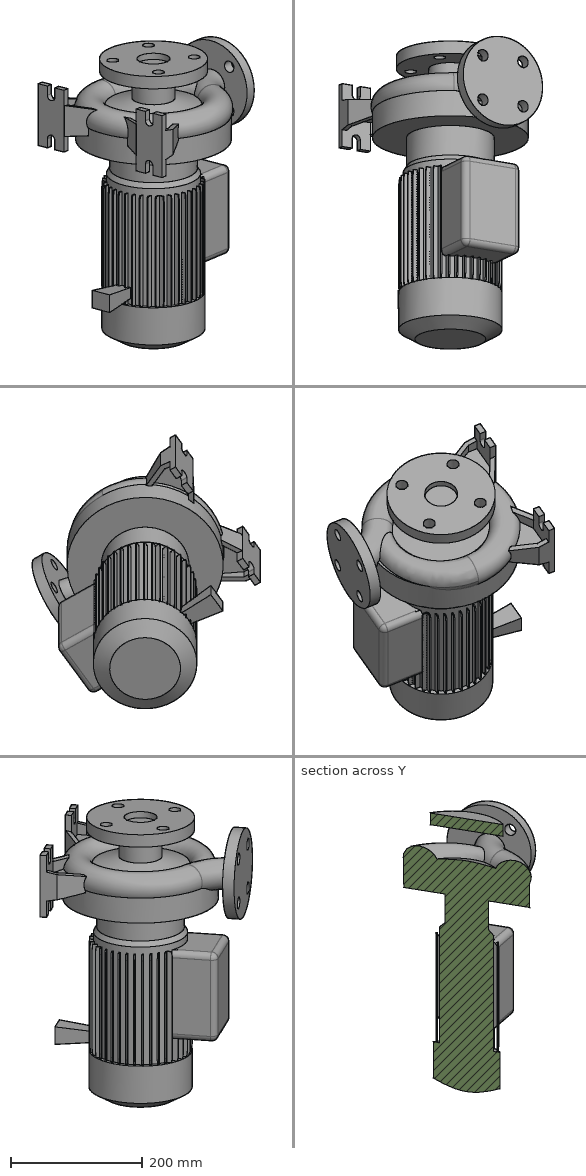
import cadquery as cq
import math


VOLUTE_PATH_RADIUS = 97.0
VOLUTE_TUBE_RADIUS = 24.0
TAPER_START_ANGLE = 180.0
TAPER_END_PATH_RADIUS = 92.5
TAPER_END_TUBE_RADIUS = 17.0
TAPER_EASE = 1.5
TAPER_SECTIONS = 6
CASING_RADIUS = 119.0
CASING_BOTTOM_Z = -50.0

SUCTION_FACE_Z = 80.0
SUCTION_FLANGE_RADIUS = 82.5
SUCTION_FLANGE_THICKNESS = 20.0
SUCTION_BOLT_CIRCLE_RADIUS = 62.5
SUCTION_PIPE_RADIUS = 33.0
SUCTION_BORE_RADIUS = 25.0
SUCTION_BORE_DEPTH = 10.0
COVER_TOP_Z = 17.0

DISCHARGE_FACE_Y = 160.0
DISCHARGE_FLANGE_RADIUS = 70.0
DISCHARGE_FLANGE_THICKNESS = 18.0
DISCHARGE_BOLT_CIRCLE_RADIUS = 50.0

FLANGE_BOLT_COUNT = 4
FLANGE_BOLT_HOLE_RADIUS = 9.0

BEND_RADIUS = (DISCHARGE_FACE_Y**2 - VOLUTE_PATH_RADIUS**2) / (2 * VOLUTE_PATH_RADIUS)
BEND_ANGLE = math.degrees(math.atan2(DISCHARGE_FACE_Y, BEND_RADIUS))

ADAPTER_RADIUS = 67.0
ADAPTER_BOTTOM_Z = -97.0
MOTOR_CORE_RADIUS = 72.0
CORE_TOP_Z = -105.0
FIN_TOP_Z = -116.0
FAN_COVER_TOP_Z = -295.0
FAN_COVER_RADIUS = 79.0
FAN_COVER_EDGE_Z = -355.0
MOTOR_BOTTOM_Z = -370.0
MOTOR_BOTTOM_RADIUS = 54.0

FIN_COUNT = 40
FIN_PITCH_RADIUS = 78.0
FIN_THICKNESS = 2.0
FIN_TIP_BEVEL_DEPTH = 1.0
FIN_TIP_BEVEL_HEIGHT = 9.0
FIN_ROOT_X = 45.0

BOX_WIDTH = 100.0
BOX_INNER_Y = 58.0
BOX_OUTER_Y = 129.0
BOX_HEIGHT = 143.0
BOX_FILLET = 10.0

STUB_OUTER_Y = -130.0
STUB_INNER_Y = -70.0
STUB_CENTER_Z = -276.5
STUB_OUTER_WIDTH = 34.0
STUB_OUTER_HEIGHT = 28.5
STUB_SHRINK = 11.0

FOOT_FACE_Y = -132.0
FOOT_THICKNESS = 10.0
FOOT_OUTER_X = 120.0
FOOT_WIDTH = 50.0
FOOT_HALF_HEIGHT = 50.0
FOOT_SLOT_WIDTH = 14.0
FOOT_SLOT_DEPTH = 22.0
RIB_THICKNESS = 8.0
RIB_BEND_Y = -105.0
RIB_END_Y = -59.0
OUTER_RIB_ANGLE = 27.5
INNER_RIB_ANGLE = 30.0
INNER_RIB_LENGTH = 54.0
RIB_ROOT_HALF_HEIGHT = 23.5
RIB_END_HALF_HEIGHT = 12.0
WEB_THICKNESS = 10.0
WEB_INNER_X = 45.0


def cylinder(radius, bottom_z, top_z):
    return cq.Workplane("XY").workplane(offset=bottom_z).circle(radius).extrude(top_z - bottom_z)


def revolve_profile(points):
    """Turn a closed (radius, z) outline around the Z axis."""
    return cq.Workplane("XZ").polyline(points).close().revolve(360, (0, 0, 0), (0, 1, 0))


def box_between(x_range, y_range, z_range):
    size = [high - low for low, high in (x_range, y_range, z_range)]
    corner = (x_range[0], y_range[0], z_range[0])
    return cq.Workplane("XY").box(*size, centered=False).translate(corner)


def make_spiral_tube():
    """Constant-section tube around the pump axis, from the taper start round to the outlet bend."""
    sweep_angle = 360 + BEND_ANGLE - TAPER_START_ANGLE
    tube = (
        cq.Workplane("XZ")
        .center(VOLUTE_PATH_RADIUS, 0)
        .circle(VOLUTE_TUBE_RADIUS)
        .revolve(sweep_angle, (-VOLUTE_PATH_RADIUS, 0, 0), (-VOLUTE_PATH_RADIUS, 1, 0))
    )
    return tube.rotate((0, 0, 0), (0, 0, 1), TAPER_START_ANGLE)


def make_spiral_taper():
    """Start of the spiral, shrinking from the full tube section to its narrow end inside the outlet bend."""
    sections = []
    for index in range(TAPER_SECTIONS):
        fraction = index / (TAPER_SECTIONS - 1)
        angle = math.radians(TAPER_START_ANGLE + fraction * (BEND_ANGLE - TAPER_START_ANGLE))
        shrink = fraction**TAPER_EASE
        path_radius = VOLUTE_PATH_RADIUS + shrink * (TAPER_END_PATH_RADIUS - VOLUTE_PATH_RADIUS)
        tube_radius = VOLUTE_TUBE_RADIUS + shrink * (TAPER_END_TUBE_RADIUS - VOLUTE_TUBE_RADIUS)
        radial = cq.Vector(math.cos(angle), math.sin(angle), 0)
        tangent = cq.Vector(math.sin(angle), -math.cos(angle), 0)
        sections.append(cq.Wire.makeCircle(tube_radius, radial * path_radius, tangent))
    return cq.Workplane(cq.Solid.makeLoft(sections))


def make_outlet_bend():
    """Reverse bend that turns the spiral outlet onto the discharge axis."""
    return (
        cq.Workplane("XZ", origin=(0, DISCHARGE_FACE_Y, 0))
        .circle(VOLUTE_TUBE_RADIUS)
        .revolve(BEND_ANGLE, (BEND_RADIUS, 0, 0), (BEND_RADIUS, 1, 0))
    )


def make_casing():
    """Casing drum with a shallow conical cover rising to the suction pipe."""
    return revolve_profile([
        (0, CASING_BOTTOM_Z),
        (CASING_RADIUS, CASING_BOTTOM_Z),
        (CASING_RADIUS, 0),
        (VOLUTE_PATH_RADIUS, 0),
        (SUCTION_PIPE_RADIUS, COVER_TOP_Z),
        (0, COVER_TOP_Z),
    ])


def make_flange(radius, thickness, bolt_circle_radius):
    """Flange disc lying on z = 0 with its bolt holes set at 45 degrees to the axes."""
    return (
        cq.Workplane("XY")
        .circle(radius)
        .polarArray(bolt_circle_radius, 45, 360, FLANGE_BOLT_COUNT)
        .circle(FLANGE_BOLT_HOLE_RADIUS)
        .extrude(thickness)
    )


def make_suction_branch():
    flange_bottom_z = SUCTION_FACE_Z - SUCTION_FLANGE_THICKNESS
    flange = make_flange(SUCTION_FLANGE_RADIUS, SUCTION_FLANGE_THICKNESS, SUCTION_BOLT_CIRCLE_RADIUS)
    pipe = cylinder(SUCTION_PIPE_RADIUS, 0, SUCTION_FACE_Z)
    bore = cylinder(SUCTION_BORE_RADIUS, SUCTION_FACE_Z - SUCTION_BORE_DEPTH, SUCTION_FACE_Z)
    return flange.translate((0, 0, flange_bottom_z)).union(pipe).cut(bore)


def make_discharge_flange():
    flange = make_flange(DISCHARGE_FLANGE_RADIUS, DISCHARGE_FLANGE_THICKNESS, DISCHARGE_BOLT_CIRCLE_RADIUS)
    return flange.rotate((0, 0, 0), (1, 0, 0), 90).translate((0, DISCHARGE_FACE_Y, 0))


def make_motor_body():
    return revolve_profile([
        (0, CASING_BOTTOM_Z),
        (ADAPTER_RADIUS, CASING_BOTTOM_Z),
        (ADAPTER_RADIUS, ADAPTER_BOTTOM_Z),
        (MOTOR_CORE_RADIUS, CORE_TOP_Z),
        (MOTOR_CORE_RADIUS, FAN_COVER_TOP_Z),
        (FAN_COVER_RADIUS, FAN_COVER_TOP_Z),
        (FAN_COVER_RADIUS, FAN_COVER_EDGE_Z),
        (MOTOR_BOTTOM_RADIUS, MOTOR_BOTTOM_Z),
        (0, MOTOR_BOTTOM_Z),
    ])


def make_fin(offset):
    """Fin along +X at the given Y offset; its flat tip just reaches the fan cover radius."""
    tip_x = math.sqrt(FAN_COVER_RADIUS**2 - (abs(offset) + FIN_THICKNESS / 2) ** 2)
    return (
        cq.Workplane("XZ", origin=(0, offset, 0))
        .polyline([
            (FIN_ROOT_X, FIN_TOP_Z),
            (tip_x - FIN_TIP_BEVEL_DEPTH, FIN_TOP_Z),
            (tip_x, FIN_TOP_Z - FIN_TIP_BEVEL_HEIGHT),
            (tip_x, FAN_COVER_TOP_Z + FIN_TIP_BEVEL_HEIGHT),
            (tip_x - FIN_TIP_BEVEL_DEPTH, FAN_COVER_TOP_Z),
            (FIN_ROOT_X, FAN_COVER_TOP_Z),
        ])
        .close()
        .extrude(FIN_THICKNESS / 2, both=True)
    )


def make_fins():
    """Four quarters of parallel fins."""
    fins_per_quarter = FIN_COUNT // 4
    angle_step = 360 / FIN_COUNT
    quarter = cq.Workplane("XY")
    for index in range(fins_per_quarter):
        angle = math.radians((index - (fins_per_quarter - 1) / 2) * angle_step)
        quarter = quarter.add(make_fin(FIN_PITCH_RADIUS * math.sin(angle)))
    quarter = quarter.combine()
    fins = quarter
    for turn in (90, 180, 270):
        fins = fins.union(quarter.rotate((0, 0, 0), (0, 0, 1), turn))
    return fins


def make_terminal_box():
    box = box_between(
        (-BOX_WIDTH / 2, BOX_WIDTH / 2),
        (BOX_INNER_Y, BOX_OUTER_Y),
        (FIN_TOP_Z - BOX_HEIGHT, FIN_TOP_Z),
    )
    return box.edges("|Y or >Y").fillet(BOX_FILLET)


def make_support_stub():
    """Stub on the fan end that narrows evenly from its outer face toward the motor."""
    return (
        cq.Workplane("XZ", origin=(0, STUB_OUTER_Y, STUB_CENTER_Z))
        .rect(STUB_OUTER_WIDTH, STUB_OUTER_HEIGHT)
        .workplane(offset=STUB_OUTER_Y - STUB_INNER_Y)
        .rect(STUB_OUTER_WIDTH - STUB_SHRINK, STUB_OUTER_HEIGHT - STUB_SHRINK)
        .loft(ruled=True)
    )


def make_foot_plate():
    """Upright plate of the +X foot with an open slot at its top and bottom edges."""
    center_x = FOOT_OUTER_X - FOOT_WIDTH / 2
    back_y = FOOT_FACE_Y + FOOT_THICKNESS
    plate = box_between(
        (FOOT_OUTER_X - FOOT_WIDTH, FOOT_OUTER_X),
        (FOOT_FACE_Y, back_y),
        (-FOOT_HALF_HEIGHT, FOOT_HALF_HEIGHT),
    )
    slots = (
        cq.Workplane("XZ", origin=(center_x, back_y, 0))
        .pushPoints([(0, FOOT_HALF_HEIGHT), (0, -FOOT_HALF_HEIGHT)])
        .slot2D(2 * FOOT_SLOT_DEPTH, FOOT_SLOT_WIDTH, 90)
        .extrude(FOOT_THICKNESS)
    )
    return plate.cut(slots)


def make_foot_ribs():
    """Cranked outer rib, angled inner rib and level web joining the +X foot plate to the casing."""
    back_y = FOOT_FACE_Y + FOOT_THICKNESS
    inner_x = FOOT_OUTER_X - FOOT_WIDTH

    outer_lean = math.radians(OUTER_RIB_ANGLE)
    end_x = FOOT_OUTER_X - (RIB_END_Y - RIB_BEND_Y) * math.tan(outer_lean)
    miter_y = RIB_THICKNESS * math.tan(outer_lean / 2)
    inner_face_x = FOOT_OUTER_X - RIB_THICKNESS
    outer_rib = [
        (FOOT_OUTER_X, back_y),
        (FOOT_OUTER_X, RIB_BEND_Y),
        (end_x, RIB_END_Y),
        (end_x - RIB_THICKNESS / math.cos(outer_lean), RIB_END_Y),
        (inner_face_x, RIB_BEND_Y - miter_y),
        (inner_face_x, back_y),
    ]

    inner_lean = math.radians(INNER_RIB_ANGLE)
    run_x = INNER_RIB_LENGTH * math.cos(inner_lean)
    run_y = INNER_RIB_LENGTH * math.sin(inner_lean)
    rib_depth_y = RIB_THICKNESS / math.cos(inner_lean)
    inner_rib = [
        (inner_x, back_y),
        (inner_x - run_x, back_y + run_y),
        (inner_x - run_x, back_y + run_y - rib_depth_y),
        (inner_x, back_y - rib_depth_y),
    ]

    web = [
        (inner_x, back_y),
        (inner_face_x, back_y),
        (inner_face_x, RIB_BEND_Y - miter_y),
        (end_x - RIB_THICKNESS, RIB_END_Y),
        (WEB_INNER_X, RIB_END_Y),
        (WEB_INNER_X, back_y + (inner_x - WEB_INNER_X) * math.tan(inner_lean)),
    ]

    def plan_extrusion(points, height):
        return cq.Workplane("XY").polyline(points).close().extrude(height / 2, both=True)

    rib_height = 2 * RIB_ROOT_HALF_HEIGHT + RIB_THICKNESS
    ribs = plan_extrusion(outer_rib, rib_height).union(plan_extrusion(inner_rib, rib_height))
    slope = (RIB_ROOT_HALF_HEIGHT - RIB_END_HALF_HEIGHT) / (RIB_END_Y - back_y)
    front_half_height = RIB_ROOT_HALF_HEIGHT + slope * FOOT_THICKNESS
    side_outline = (
        cq.Workplane("YZ")
        .polyline([
            (FOOT_FACE_Y, -front_half_height),
            (RIB_END_Y, -RIB_END_HALF_HEIGHT),
            (RIB_END_Y, RIB_END_HALF_HEIGHT),
            (FOOT_FACE_Y, front_half_height),
        ])
        .close()
        .extrude(FOOT_OUTER_X)
    )
    return ribs.intersect(side_outline).union(plan_extrusion(web, WEB_THICKNESS))


def make_feet():
    foot = make_foot_plate().union(make_foot_ribs())
    return foot.union(foot.mirror("YZ"))


result = make_casing()
for feature in (
    make_spiral_tube(),
    make_spiral_taper(),
    make_outlet_bend(),
    make_suction_branch(),
    make_discharge_flange(),
    make_motor_body(),
    make_fins(),
    make_terminal_box(),
    make_support_stub(),
    make_feet(),
):
    result = result.union(feature)